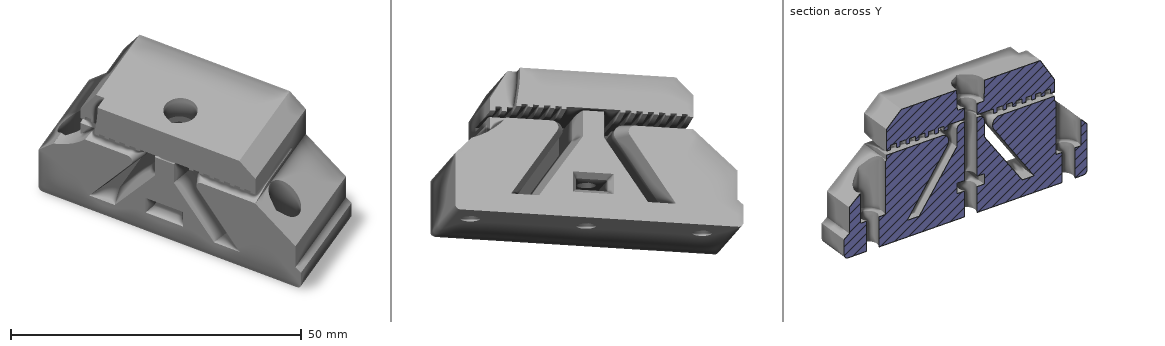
import cadquery as cq
import math

LENGTH = 51.0
DEPTH = 18.8
HEIGHT = 26.0

JAW_LEFT = 6.8
JAW_RIGHT = 42.15
CENTER_X = (JAW_LEFT + JAW_RIGHT) / 2
JAW_BASE_Z = 16.9
JAW_TOP_LEFT = 9.85
JAW_TOP_RIGHT = 39.0
JAW_LEFT_SHOULDER_Z = 21.05
JAW_RIGHT_SHOULDER_Z = 23.05
BASE_SHOULDER_Z = 10.05
LIP_WIDTH = 1.05
LIP_TOP_Z = 4.85
LIP_EDGE_Z = 4.0
BOTTOM_RADIUS = 0.9
BACK_CHAMFER = 0.5

SLOT_DEPTH = 13.7
FLARE_DEPTH = 4.0
CHANNEL_FLOOR_Z = 3.4
CHANNEL_SLOPE = 1.44
MOUTH = {"floor": 16.95, "ceiling": 19.1, "outer_half": 14.6, "corner": 1.1}
INNER = {"floor": 17.9, "ceiling": 18.6, "outer_half": 13.2, "corner": 1.55}

ISLAND_TOP_Z = 19.05
ISLAND_SLOPE = 1.42
ISLAND_MOUTH = {"foot_half": 9.65, "neck_half": 1.85}
ISLAND_INNER = {"foot_half": 10.8, "neck_half": 2.9}
NECK_CORNER_RADIUS = 1.05
NECK_BACK_GAP = 0.35

GROOVE_TOP_Z = 19.55
GROOVE_WIDTH = 1.1
GROOVES_PER_SIDE = 6
GROOVE_SPAN = 10.0
GROOVE_PITCH = GROOVE_SPAN / (GROOVES_PER_SIDE - 1)
FIRST_GROOVE_OFFSET = 6.15
WIDE_GROOVE_HALF = 4.75

RELIEF_DEPTH = 2.6
RELIEF_TOP_X = 11.5
RELIEF_TOP_MIDDLE = (11.4, 24.3)
RELIEF_BEND = (11.25, 22.55)
RELIEF_ARC_START = (10.85, 19.6)
RELIEF_ARC_MIDDLE = (7.8, 15.7)
RELIEF_ARC_END = (2.9, 12.95)

HOLE_SPACING = 20.5
HOLE_Y = 5.55
HOLE_RADIUS = 1.7
HEAD_RADIUS = 2.8
TEARDROP_REACH = 1.14
HEAD_FLOOR_Z = 6.1
JAW_HEAD_RADIUS = 2.95
JAW_HEAD_FLOOR_Z = 21.9
JAW_HEAD_SHIFT = 0.45

POCKET_BOTTOM_Z = 4.45
POCKET_TOP_Z = 8.05
POCKET_HALF = 3.6
POCKET_TAPER = 0.8
POCKET_TAPER_DEPTH = 1.45
POCKET_DEPTH = 8.35


def front_plane():
    """XZ workplane on the front face; negative extrusions run toward +Y."""
    return cq.Workplane("XZ")


def box_between(x, y, z):
    """Box from three (low, high) ranges."""
    size = [high - low for low, high in (x, y, z)]
    return cq.Workplane("XY").box(*size, centered=False).translate((x[0], y[0], z[0]))


def flared_prism(mouth_wire, inner_wire, taper_depth, full_depth):
    """Prism along Y that tapers from mouth_wire to inner_wire, then runs straight."""
    back_wire = inner_wire.translate(cq.Vector(0, taper_depth, 0))
    taper = cq.Solid.makeLoft([mouth_wire, back_wire], True)
    straight_length = cq.Vector(0, full_depth - taper_depth, 0)
    straight = cq.Solid.extrudeLinear(back_wire, [], straight_length)
    return cq.Workplane(taper).union(cq.Workplane(straight))


def block():
    outline = [
        (0, 0),
        (LENGTH, 0),
        (LENGTH, LIP_EDGE_Z),
        (LENGTH - LIP_WIDTH, LIP_TOP_Z),
        (LENGTH - LIP_WIDTH, BASE_SHOULDER_Z),
        (JAW_RIGHT, JAW_BASE_Z),
        (JAW_RIGHT, JAW_RIGHT_SHOULDER_Z),
        (JAW_TOP_RIGHT, HEIGHT),
        (JAW_TOP_LEFT, HEIGHT),
        (JAW_LEFT, JAW_LEFT_SHOULDER_Z),
        (JAW_LEFT, JAW_BASE_Z),
        (0, BASE_SHOULDER_Z),
    ]
    body = front_plane().polyline(outline).close().extrude(-DEPTH)
    body = body.edges("|Y and <Z").fillet(BOTTOM_RADIUS)
    chamfer = (
        cq.Workplane("YZ")
        .polyline([(DEPTH, 0), (DEPTH - BACK_CHAMFER, 0), (DEPTH, BACK_CHAMFER)])
        .close()
        .extrude(LENGTH)
    )
    return body.cut(chamfer)


def channel_wire(section):
    """Outline of slot and channels together; rounded where slot floor meets channel."""
    floor = section["floor"]
    ceiling = section["ceiling"]
    outer_half = section["outer_half"]
    radius = section["corner"]
    corner_half = outer_half - (floor - CHANNEL_FLOOR_Z) / CHANNEL_SLOPE
    wall_angle = math.atan(CHANNEL_SLOPE)
    tangent = radius / math.tan(wall_angle / 2)
    center = (corner_half + tangent, floor - radius)
    mid_angle = math.pi / 2 + (math.pi - wall_angle) / 2
    arc_floor = (corner_half + tangent, floor)
    arc_middle = (
        center[0] + radius * math.cos(mid_angle),
        center[1] + radius * math.sin(mid_angle),
    )
    arc_wall = (
        corner_half + tangent * math.cos(wall_angle),
        floor - tangent * math.sin(wall_angle),
    )
    half_span = LENGTH / 2

    def right(point):
        return (CENTER_X + point[0], point[1])

    def left(point):
        return (CENTER_X - point[0], point[1])

    return (
        front_plane()
        .moveTo(*right((half_span, ceiling)))
        .lineTo(*right((half_span, floor)))
        .lineTo(*right(arc_floor))
        .threePointArc(right(arc_middle), right(arc_wall))
        .lineTo(*right((outer_half, CHANNEL_FLOOR_Z)))
        .lineTo(*left((outer_half, CHANNEL_FLOOR_Z)))
        .lineTo(*left(arc_wall))
        .threePointArc(left(arc_middle), left(arc_floor))
        .lineTo(*left((half_span, floor)))
        .lineTo(*left((half_span, ceiling)))
        .close()
        .val()
    )


def island_wire(section):
    """Outline of the island: two sloping sides below a straight neck."""
    foot = section["foot_half"]
    neck = section["neck_half"]
    shoulder_z = CHANNEL_FLOOR_Z + ISLAND_SLOPE * (foot - neck)
    return (
        front_plane()
        .moveTo(CENTER_X - foot, CHANNEL_FLOOR_Z)
        .lineTo(CENTER_X + foot, CHANNEL_FLOOR_Z)
        .lineTo(CENTER_X + neck, shoulder_z)
        .lineTo(CENTER_X + neck, ISLAND_TOP_Z)
        .lineTo(CENTER_X - neck, ISLAND_TOP_Z)
        .lineTo(CENTER_X - neck, shoulder_z)
        .close()
        .val()
    )


def island():
    """Island with tapered flanks, clipped by rounded corners of constant section."""
    inner_wire = island_wire(ISLAND_INNER)
    straight = cq.Solid.extrudeLinear(inner_wire, [], cq.Vector(0, SLOT_DEPTH, 0))
    rounded = cq.Workplane(straight).faces(">Z").edges("|Y").fillet(NECK_CORNER_RADIUS)
    tapered = flared_prism(island_wire(ISLAND_MOUTH), inner_wire, FLARE_DEPTH, SLOT_DEPTH)
    return tapered.intersect(rounded)


def slot_and_channels():
    """Everything opened up around the island, with a gap left behind its neck."""
    opening = flared_prism(channel_wire(MOUTH), channel_wire(INNER), FLARE_DEPTH, SLOT_DEPTH)
    depth_range = (0, SLOT_DEPTH)
    groove_z = (INNER["floor"], GROOVE_TOP_Z)
    wide_x = (CENTER_X - WIDE_GROOVE_HALF, CENTER_X + WIDE_GROOVE_HALF)
    opening = opening.union(box_between(wide_x, depth_range, groove_z))
    for side in (-1, 1):
        for index in range(GROOVES_PER_SIDE):
            middle = CENTER_X + side * (FIRST_GROOVE_OFFSET + index * GROOVE_PITCH)
            groove_x = (middle - GROOVE_WIDTH / 2, middle + GROOVE_WIDTH / 2)
            opening = opening.union(box_between(groove_x, depth_range, groove_z))
    neck_gap = box_between(wide_x, (SLOT_DEPTH - NECK_BACK_GAP, SLOT_DEPTH), groove_z)
    return opening.cut(island().cut(neck_gap))


def corner_relief():
    """Curved clearance: shallow across the jaw, deeper beside the left screw head."""
    profile = (
        front_plane()
        .moveTo(RELIEF_TOP_X, HEIGHT)
        .threePointArc(RELIEF_TOP_MIDDLE, RELIEF_BEND)
        .lineTo(*RELIEF_ARC_START)
        .threePointArc(RELIEF_ARC_MIDDLE, RELIEF_ARC_END)
        .lineTo(RELIEF_ARC_END[0], HEIGHT)
        .close()
    )
    relief = profile.extrude(-HOLE_Y)
    jaw_part = box_between((JAW_LEFT, LENGTH), (RELIEF_DEPTH, DEPTH), (0, HEIGHT))
    return relief.cut(jaw_part)


def teardrop(radius, x, y, z):
    """Circle drawn out to a blunt point toward -Y."""
    half_angle = math.acos(1 / TEARDROP_REACH)
    tangent_x = radius * math.sin(half_angle)
    tangent_y = y - radius * math.cos(half_angle)
    return (
        cq.Workplane("XY", origin=(0, 0, z))
        .moveTo(x + tangent_x, tangent_y)
        .threePointArc((x, y + radius), (x - tangent_x, tangent_y))
        .lineTo(x, y - radius * TEARDROP_REACH)
        .close()
    )


def screw_holes():
    """Three through holes; the jaw's counterbore leans toward +Y as it rises."""
    holes = cq.Workplane("XY")
    for side in (-1, 0, 1):
        x = CENTER_X + side * HOLE_SPACING
        holes = holes.add(teardrop(HOLE_RADIUS, x, HOLE_Y, 0).extrude(HEIGHT))
        if side != 0:
            counterbore = teardrop(HEAD_RADIUS, x, HOLE_Y, HEAD_FLOOR_Z)
            holes = holes.add(counterbore.extrude(JAW_BASE_Z - HEAD_FLOOR_Z))
    head_floor = teardrop(JAW_HEAD_RADIUS, CENTER_X, HOLE_Y, JAW_HEAD_FLOOR_Z).val()
    head_top = teardrop(JAW_HEAD_RADIUS, CENTER_X, HOLE_Y + JAW_HEAD_SHIFT, HEIGHT).val()
    return holes.add(cq.Solid.makeLoft([head_floor, head_top], True)).combine()


def pocket_wire(inset):
    height = POCKET_TOP_Z - POCKET_BOTTOM_Z
    return (
        front_plane()
        .center(CENTER_X, (POCKET_TOP_Z + POCKET_BOTTOM_Z) / 2)
        .rect(2 * (POCKET_HALF - inset), height - 2 * inset)
        .val()
    )


def nut_pocket():
    mouth = pocket_wire(0)
    inner = pocket_wire(POCKET_TAPER)
    return flared_prism(mouth, inner, POCKET_TAPER_DEPTH, POCKET_DEPTH)


result = (
    block()
    .cut(slot_and_channels())
    .cut(corner_relief())
    .cut(screw_holes())
    .cut(nut_pocket())
)